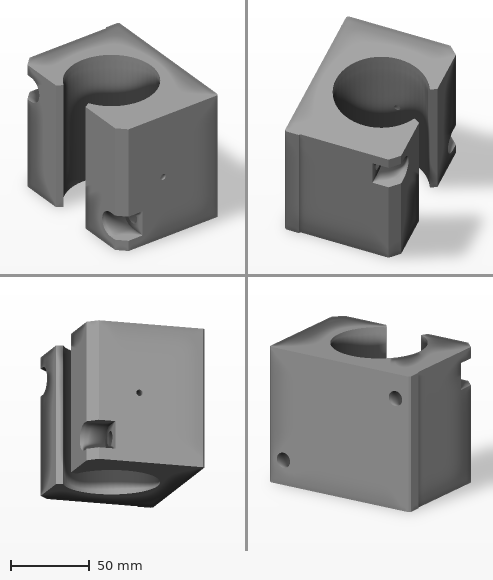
import cadquery as cq

width = 108.0
depth = 77.0
height = 91.0
half_width = width / 2

ledge_step = 1.0
ledge_length = 10.2
front_chamfer = 6.2
back_chamfer = 1.1

bore_radius = 31.0
bore_center_y = 32.1
throat_half_width = 13.5
mouth_half_width = 15.9

bolt_diameter = 10.2
bolt_x = 43.0
bolt_edge_distance = 16.6
pocket_width = 18.0
pocket_depth = 17.2

cross_hole_diameter = 4.1
cross_hole_y = 33.4


def make_block():
    """Prism with chamfered corners and a narrow locating ledge at the back left."""
    left_side = -half_width + ledge_step
    ledge_start = depth - ledge_length
    outline = [
        (left_side + front_chamfer, 0),
        (half_width - front_chamfer, 0),
        (half_width, front_chamfer),
        (half_width, depth - back_chamfer),
        (half_width - back_chamfer, depth),
        (-half_width + back_chamfer, depth),
        (-half_width, depth - back_chamfer),
        (-half_width, ledge_start),
        (left_side, ledge_start),
        (left_side, front_chamfer),
    ]
    return cq.Workplane("XY").polyline(outline).close().extrude(height)


def make_open_bore():
    """Round bore with a mouth that widens toward the front face."""
    throat_y = bore_center_y - (bore_radius**2 - throat_half_width**2) ** 0.5
    return (
        cq.Workplane("XY")
        .moveTo(-mouth_half_width, 0)
        .lineTo(mouth_half_width, 0)
        .lineTo(throat_half_width, throat_y)
        .threePointArc((0, bore_center_y + bore_radius), (-throat_half_width, throat_y))
        .close()
        .extrude(height)
    )


def make_bolt_cut(side, z):
    """Through hole with a round-ended pocket; side is -1 for left and 1 for right."""
    center_x = side * bolt_x
    hole = (
        cq.Workplane("XZ", origin=(center_x, 0, z))
        .circle(bolt_diameter / 2)
        .extrude(-depth)
    )
    round_end = (
        cq.Workplane("XZ", origin=(center_x, 0, z))
        .circle(pocket_width / 2)
        .extrude(-pocket_depth)
    )
    open_end = (
        cq.Workplane("XZ", origin=(center_x + side * half_width / 2, 0, z))
        .rect(half_width, pocket_width)
        .extrude(-pocket_depth)
    )
    return hole.union(round_end).union(open_end)


def make_cross_hole():
    """Horizontal hole at mid height from inside the bore out through the right side."""
    return (
        cq.Workplane("YZ", origin=(0, cross_hole_y, height / 2))
        .circle(cross_hole_diameter / 2)
        .extrude(half_width)
    )


result = make_block().cut(make_open_bore())
result = result.cut(make_bolt_cut(-1, height - bolt_edge_distance))
result = result.cut(make_bolt_cut(1, bolt_edge_distance))
result = result.cut(make_cross_hole())